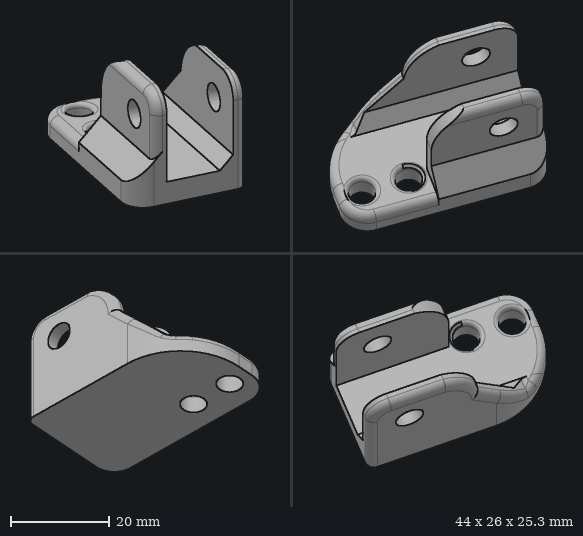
import cadquery as cq
import math

length = 44.0
width = 26.0
height = 25.25

base_height = 5.0
edge_round = 2.0
front_left_radius = 6.0
front_right_radius = 5.0
back_left_radius = 16.0

wall = 3.0
tower_start = 19.45
tower_arc_radius = 10.0
tower_arc_start = 15.58
tower_corner_radius = 5.0
front_wall_y = 5.0
inner_chamfer = 3.0
ramp_foot = 8.0
ramp_end = 22.0

pin_diameter = 6.0
pin_x = 35.0
pin_height = 17.1
screw_diameter = 5.5
screw_mouth_round = 1.0
screw_x_positions = (5.25, 15.22)
screw_y = 7.0
relief_start_x = 15.05
relief_mouth_radius = 3.48


def base_outline():
    """Plan shape of the base, with a big round corner at the back left."""
    return (
        cq.Workplane("XY")
        .moveTo(front_left_radius, 0)
        .lineTo(length - front_right_radius, 0)
        .radiusArc((length, front_right_radius), -front_right_radius)
        .lineTo(length, width - edge_round)
        .radiusArc((length - edge_round, width), -edge_round)
        .lineTo(back_left_radius, width)
        .radiusArc((0, width - back_left_radius), -back_left_radius)
        .lineTo(0, front_left_radius)
        .radiusArc((front_left_radius, 0), -front_left_radius)
        .close()
    )


def extrude_along_y(profile, y_start, y_end):
    """Turn a closed XZ profile into a prism between two Y positions."""
    return profile.extrude(y_start - y_end).translate((0, y_start, 0))


def extrude_along_x(points, x_start):
    """Turn a YZ polygon into a prism from x_start to the right end."""
    prism = cq.Workplane("YZ").polyline(points).close().extrude(length - x_start)
    return prism.translate((x_start, 0, 0))


def tower_profile():
    """Side plate shape: curved left edge, flat top, rounded right corner."""
    arc_rise = height - tower_arc_start
    arc_run = tower_arc_radius - math.sqrt(tower_arc_radius**2 - arc_rise**2)
    return (
        cq.Workplane("XZ")
        .moveTo(tower_start, 0)
        .lineTo(tower_start, tower_arc_start)
        .radiusArc((tower_start + arc_run, height), tower_arc_radius)
        .lineTo(length - tower_corner_radius, height)
        .radiusArc((length, height - tower_corner_radius), tower_corner_radius)
        .lineTo(length, 0)
        .close()
    )


def ramp_profile():
    """Base top rising through a concave bend into the 45 degree ramp."""
    bend_angle = math.radians(45)
    tangent = edge_round * math.tan(bend_angle / 2)
    bend_end = tangent * math.cos(bend_angle)
    return (
        cq.Workplane("XZ")
        .lineTo(0, base_height)
        .lineTo(ramp_foot - tangent, base_height)
        .radiusArc((ramp_foot + bend_end, base_height + bend_end), -edge_round)
        .lineTo(ramp_end, base_height + ramp_end - ramp_foot)
        .lineTo(ramp_end, 0)
        .close()
    )


def base_plate():
    """Base whose top rim is rounded only left of the side plates' start."""
    plate = base_outline().extrude(base_height)
    square_end = cq.Workplane("XY").box(length - tower_start, width, base_height, centered=False)
    square_end = plate.intersect(square_end.translate((tower_start, 0, 0)))
    return plate.faces(">Z").edges().fillet(edge_round).union(square_end)


def back_section():
    """Prism with the cross section of the back plate with its inner 45 degree foot."""
    inner_y = width - wall
    foot_y = inner_y - inner_chamfer
    return extrude_along_x(
        [
            (width, 0),
            (width, height),
            (inner_y, height),
            (inner_y, base_height + inner_chamfer),
            (foot_y, base_height),
            (foot_y, 0),
        ],
        0,
    )


def back_side():
    """Back plate and its ramp, both rounded along the outer rim."""
    tower = extrude_along_y(tower_profile(), width / 2, width)
    tower = tower.faces(">Y").edges("not(<X or <Z)").fillet(edge_round)
    ramp = extrude_along_y(ramp_profile(), width / 2, width)
    ramp = ramp.intersect(base_outline().extrude(height))
    ramp = ramp.edges("not(|Y or |Z or <Y or <Z or >X)").fillet(edge_round)
    return ramp.union(tower).intersect(back_section())


def front_plate():
    """Front plate, rounded along its top and right edges only."""
    plate = (
        cq.Workplane("XY")
        .box(length, wall, height, centered=False)
        .translate((0, front_wall_y, 0))
    )
    plate = plate.edges("|Y and >X and >Z").fillet(tower_corner_radius)
    plate = plate.faces("<Y").edges("not(<X or <Z)").fillet(edge_round)
    return plate.intersect(extrude_along_y(tower_profile(), 0, width))


def front_web():
    """Solid 45 degree web supporting the outside of the front plate."""
    web_depth = front_wall_y + wall
    web = extrude_along_x(
        [
            (0, 0),
            (0, base_height),
            (web_depth, base_height + web_depth),
            (web_depth, 0),
        ],
        tower_start,
    )
    return web.intersect(base_outline().extrude(height))


def pin_hole():
    """Cross hole through both side plates."""
    circle = cq.Workplane("XZ").center(pin_x, pin_height).circle(pin_diameter / 2)
    return extrude_along_y(circle, 0, width)


def screw_hole(x):
    """Vertical through hole with a mouth flared by a convex round."""
    radius = screw_diameter / 2
    flare_start = base_height - screw_mouth_round
    mouth_radius = radius + screw_mouth_round
    profile = (
        cq.Workplane("XZ")
        .lineTo(radius, 0)
        .lineTo(radius, flare_start)
        .radiusArc((mouth_radius, base_height), screw_mouth_round)
        .lineTo(0, base_height)
        .close()
    )
    return profile.revolve(360, (0, 0), (0, 1)).translate((x, screw_y, 0))


def half_relief():
    """Straight 45 degree countersink on the right half of the second screw hole."""
    depth = relief_mouth_radius
    cone = (
        cq.Workplane("XZ")
        .lineTo(relief_mouth_radius, depth)
        .lineTo(0, depth)
        .close()
        .revolve(360, (0, 0), (0, 1))
        .translate((screw_x_positions[1], screw_y, base_height - depth))
    )
    right_half = cq.Workplane("XY").box(length, width, height, centered=False)
    return cone.intersect(right_half.translate((relief_start_x, 0, 0)))


result = base_plate().union(back_side()).union(front_plate()).union(front_web()).cut(pin_hole())
for screw_x in screw_x_positions:
    result = result.cut(screw_hole(screw_x))
result = result.cut(half_relief())